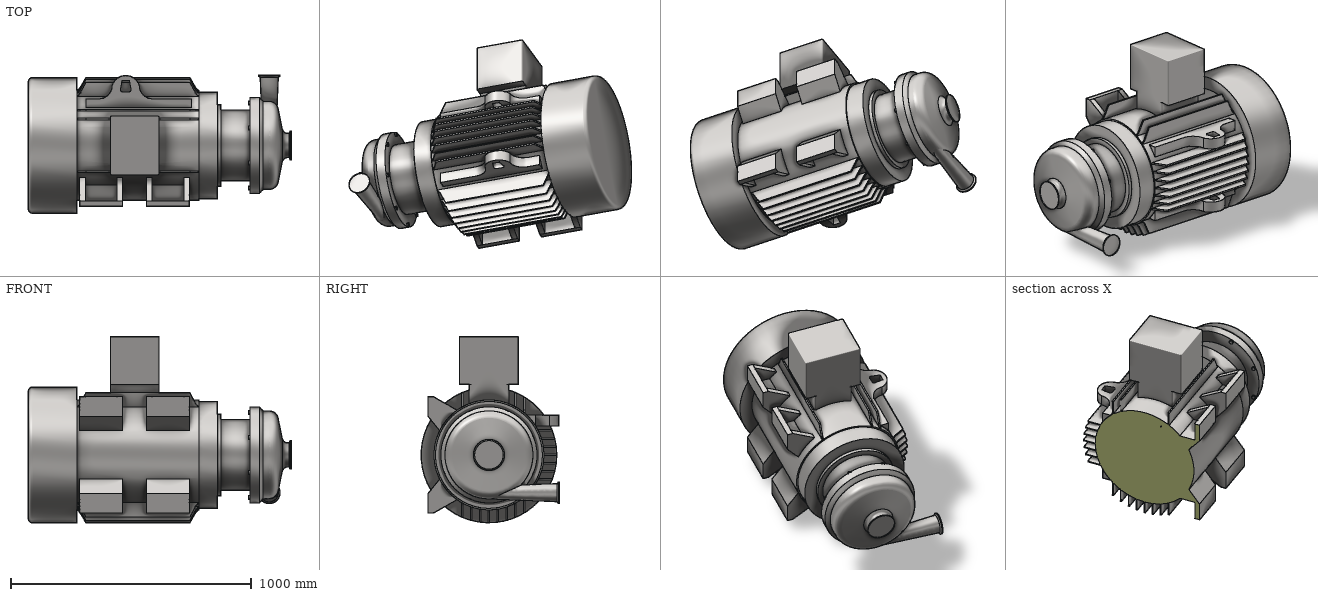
import cadquery as cq
import math


OVERALL_LENGTH = 1093.75
OVERALL_WIDTH = 575.15
OVERALL_HEIGHT = 774.7

FAN_COVER_END = 202.0
HOUSING_END = 709.0
END_SHIELD_END = 786.0
SPIGOT_END = 801.0
LANTERN_END = 921.5
PUMP_FLANGE_END = 960.5
FLANGE_TAPER_END = 977.0
VOLUTE_MID = 1002.0
VOLUTE_FACE_END = 1057.0

FAN_COVER_R = 564.9 / 2
FAN_COVER_ROUND = 18.0
HOUSING_R = 457.2 / 2
END_SHIELD_R = 444.5 / 2
SPIGOT_R = 340.0 / 2
LANTERN_R = 295.0 / 2
PUMP_FLANGE_R = 400.0 / 2
VOLUTE_R = 366.0 / 2
VOLUTE_ROUND = 38.0
VOLUTE_ROUND_END_ANGLE = 12.0
VOLUTE_FACE_R = 65.0

SUCTION_FLARE_START = 1062.0
SUCTION_FLARE_END = 1076.5
SUCTION_FLARE_R = 117.01 / 2
SUCTION_TUBE_R = 101.73 / 2
SUCTION_FERRULE_R = 118.92 / 2
FERRULE_RIM = 4.5
FERRULE_TAPER = 5.0

DISCHARGE_END_Y = OVERALL_WIDTH - FAN_COVER_R
DISCHARGE_Z = -157.0
DISCHARGE_TUBE_R = 76.33 / 2
DISCHARGE_FERRULE_R = 90.91 / 2

BOLT_COUNT = 8
BOLT_CIRCLE_R = 191.0
BOLT_HEAD_R = 8.0
BOLT_HEAD_HEIGHT = 6.5

ROOT_DEPTH = 20.0

UPRIGHT_FIN_PITCH = 36.7
SIDE_FIN_PITCH = 34.0
FIN_THICKNESS = 6.5
FIN_TIP_R = FAN_COVER_R
FIN_TIP_START = 240.0
FIN_TIP_END = 672.0
FIN_SLOPE_RUN = 25.0
FIN_FLARE = 11.0
FINS_PER_SIDE = 3

BOX_START = 341.5
BOX_END = 544.0
BOX_WIDTH = 245.0
BOX_BOTTOM = 293.5
BOX_TOP = OVERALL_HEIGHT - FAN_COVER_R
BOX_EDGE_ROUND = 7.0
LID_EDGE_ROUND = 3.0
NECK_WIDTH = 165.0

FOOT_STARTS = (214.0, 491.5)
FOOT_LENGTH = 179.0
FOOT_FACE_Y = -253.5
FOOT_WALL = 23.5
FOOT_OUTER_Z = 242.0
FOOT_FLOOR_Z = 160.0
FOOT_GUSSET_ANGLE = 30.0
FOOT_HEEL_Z = 101.0
FOOT_ROOT_Y = -101.0

LUG_CENTRE_X = 405.5
LUG_BOTTOM_Z = 120.0
LUG_THICKNESS = 45.5
LUG_START_X = 240.0
LUG_END_X = 679.0
LUG_BASE_Y = 157.5
LUG_SHOULDER_Y = 193.8
LUG_EYE_TOP_Y = 291.0
LUG_EYE_HALF_WIDTH = 56.0
LUG_FILLET = 57.0
LUG_HOLE_BOTTOM_Y = 223.0
LUG_HOLE_TOP_Y = 270.0
LUG_HOLE_BOTTOM_WIDTH = 47.0
LUG_HOLE_TOP_WIDTH = 31.0
LUG_HOLE_ROUND = 9.0


def chord_height(radius, offset):
    """Distance from the axis to a circle, measured at a sideways offset."""
    return math.sqrt(radius ** 2 - offset ** 2)


def mirrored_pair(body):
    """The body together with its mirror image below the shaft axis."""
    return body.union(body.mirror("XY"))


def axial_cylinder(start, end, radius):
    return cq.Workplane("YZ").workplane(offset=start).circle(radius).extrude(end - start)


def make_motor_body():
    fan_cover = axial_cylinder(0, FAN_COVER_END, FAN_COVER_R).faces("<X").edges().fillet(FAN_COVER_ROUND)
    body = fan_cover.union(axial_cylinder(FAN_COVER_END, HOUSING_END, HOUSING_R))
    body = body.union(axial_cylinder(HOUSING_END, END_SHIELD_END, END_SHIELD_R))
    body = body.union(axial_cylinder(END_SHIELD_END, SPIGOT_END, SPIGOT_R))
    return body.union(axial_cylinder(SPIGOT_END, LANTERN_END, LANTERN_R))


def make_pump_casing():
    """Flange, volute and suction nozzle, revolved about the shaft axis."""
    round_end_angle = math.radians(VOLUTE_ROUND_END_ANGLE)
    round_end = (
        VOLUTE_MID + VOLUTE_ROUND * math.cos(round_end_angle),
        VOLUTE_R - VOLUTE_ROUND + VOLUTE_ROUND * math.sin(round_end_angle),
    )
    round_middle = (
        VOLUTE_MID + VOLUTE_ROUND * math.sin(math.pi / 4),
        VOLUTE_R - VOLUTE_ROUND + VOLUTE_ROUND * math.cos(math.pi / 4),
    )
    flare_run = SUCTION_FLARE_END - SUCTION_FLARE_START
    flare_drop = SUCTION_FLARE_R - SUCTION_TUBE_R
    flare_radius = (flare_run ** 2 + flare_drop ** 2) / (2 * flare_drop)
    flare_middle = (
        SUCTION_FLARE_END - flare_run / 2,
        SUCTION_TUBE_R + flare_radius - chord_height(flare_radius, flare_run / 2),
    )
    rim_start = OVERALL_LENGTH - FERRULE_RIM
    profile = (
        cq.Workplane("XY")
        .moveTo(LANTERN_END, 0)
        .lineTo(LANTERN_END, PUMP_FLANGE_R)
        .lineTo(PUMP_FLANGE_END, PUMP_FLANGE_R)
        .lineTo(FLANGE_TAPER_END, VOLUTE_R)
        .lineTo(VOLUTE_MID, VOLUTE_R)
        .threePointArc(round_middle, round_end)
        .lineTo(VOLUTE_FACE_END, VOLUTE_FACE_R)
        .lineTo(SUCTION_FLARE_START, SUCTION_FLARE_R)
        .threePointArc(flare_middle, (SUCTION_FLARE_END, SUCTION_TUBE_R))
        .lineTo(rim_start - FERRULE_TAPER, SUCTION_TUBE_R)
        .lineTo(rim_start, SUCTION_FERRULE_R)
        .lineTo(OVERALL_LENGTH, SUCTION_FERRULE_R)
        .lineTo(OVERALL_LENGTH, 0)
        .close()
    )
    return profile.revolve(360, (0, 0, 0), (1, 0, 0))


def make_discharge_nozzle():
    """Tapered tube whose inner end just fits inside the volute, with a ferrule on its outer end."""
    inner_r = VOLUTE_R + DISCHARGE_Z
    rim_start = DISCHARGE_END_Y - FERRULE_RIM
    profile = (
        cq.Workplane("XY")
        .moveTo(0, 0)
        .lineTo(inner_r, 0)
        .lineTo(DISCHARGE_TUBE_R, rim_start - FERRULE_TAPER)
        .lineTo(DISCHARGE_FERRULE_R, rim_start)
        .lineTo(DISCHARGE_FERRULE_R, DISCHARGE_END_Y)
        .lineTo(0, DISCHARGE_END_Y)
        .close()
    )
    nozzle = profile.revolve(360, (0, 0, 0), (0, 1, 0))
    return nozzle.translate((VOLUTE_MID, 0, DISCHARGE_Z))


def make_bolt_heads():
    return (
        cq.Workplane("YZ")
        .workplane(offset=LANTERN_END - BOLT_HEAD_HEIGHT)
        .polarArray(BOLT_CIRCLE_R, 180 / BOLT_COUNT, 360, BOLT_COUNT)
        .circle(BOLT_HEAD_R)
        .extrude(BOLT_HEAD_HEIGHT)
    )


def make_upright_fin(offset):
    """Fin standing up from the housing at a sideways distance from the shaft axis."""
    root = chord_height(HOUSING_R, offset)
    tip = chord_height(FIN_TIP_R, abs(offset) + FIN_THICKNESS / 2)
    flare_top = root + FIN_FLARE
    fin_start = FIN_TIP_START - FIN_SLOPE_RUN
    fin_end = FIN_TIP_END + FIN_SLOPE_RUN
    profile = (
        cq.Workplane("XZ")
        .moveTo(fin_start - FIN_FLARE, root - ROOT_DEPTH)
        .lineTo(fin_start - FIN_FLARE, root)
        .lineTo(fin_start, flare_top)
        .lineTo(FIN_TIP_START, tip)
        .lineTo(FIN_TIP_END, tip)
        .lineTo(fin_end, flare_top)
        .lineTo(fin_end + FIN_FLARE, root)
        .lineTo(fin_end + FIN_FLARE, root - ROOT_DEPTH)
        .close()
    )
    fin = profile.extrude(FIN_THICKNESS / 2, both=True)
    return fin.translate((0, offset, 0))


def make_fins():
    """Full rows on the bottom and +Y sides, one pair beside the terminal box, one fin by each lug."""
    axis_start = (0, 0, 0)
    axis_end = (1, 0, 0)
    lug_fin = make_upright_fin((FINS_PER_SIDE + 1) * UPRIGHT_FIN_PITCH)
    fins = mirrored_pair(lug_fin)
    for step in (-FINS_PER_SIDE, FINS_PER_SIDE):
        fins = fins.union(make_upright_fin(step * UPRIGHT_FIN_PITCH))
    for step in range(-FINS_PER_SIDE, FINS_PER_SIDE + 1):
        bottom_fin = make_upright_fin(step * UPRIGHT_FIN_PITCH).rotate(axis_start, axis_end, 180)
        side_fin = make_upright_fin(step * SIDE_FIN_PITCH).rotate(axis_start, axis_end, -90)
        fins = fins.union(bottom_fin).union(side_fin)
    return fins


def make_terminal_box():
    length = BOX_END - BOX_START
    middle = (BOX_START + BOX_END) / 2
    box = (
        cq.Workplane("XY")
        .workplane(offset=BOX_BOTTOM)
        .center(middle, 0)
        .rect(length, BOX_WIDTH)
        .extrude(BOX_TOP - BOX_BOTTOM)
        .edges("|Z")
        .fillet(BOX_EDGE_ROUND)
        .faces(">Z")
        .edges()
        .fillet(LID_EDGE_ROUND)
    )
    neck_bottom = chord_height(HOUSING_R, NECK_WIDTH / 2) - ROOT_DEPTH
    neck = (
        cq.Workplane("XY")
        .workplane(offset=neck_bottom)
        .center(middle, 0)
        .rect(length, NECK_WIDTH)
        .extrude(BOX_BOTTOM - neck_bottom)
        .edges("|Z")
        .fillet(BOX_EDGE_ROUND)
    )
    return box.union(neck)


def make_foot(start):
    """Wedge foot with an end gusset on each side of an open pocket; its root lies inside the housing."""
    plate_back_y = FOOT_FACE_Y + FOOT_WALL
    slope = math.tan(math.radians(FOOT_GUSSET_ANGLE))
    heel_y = -chord_height(HOUSING_R, FOOT_HEEL_Z)
    wedge = (
        cq.Workplane("YZ")
        .workplane(offset=start)
        .moveTo(FOOT_FACE_Y, FOOT_FLOOR_Z)
        .lineTo(FOOT_FACE_Y, FOOT_OUTER_Z)
        .lineTo(plate_back_y, FOOT_OUTER_Z)
        .lineTo(FOOT_ROOT_Y, FOOT_OUTER_Z - slope * (FOOT_ROOT_Y - plate_back_y))
        .lineTo(FOOT_ROOT_Y, FOOT_HEEL_Z)
        .lineTo(heel_y, FOOT_HEEL_Z)
        .close()
        .extrude(FOOT_LENGTH)
    )
    pocket = cq.Workplane("XY").box(
        FOOT_LENGTH - 2 * FOOT_WALL,
        FOOT_ROOT_Y - plate_back_y,
        FOOT_OUTER_Z - FOOT_FLOOR_Z,
        centered=False,
    )
    return wedge.cut(pocket.translate((start + FOOT_WALL, plate_back_y, FOOT_FLOOR_Z)))


def make_lug():
    """Plate with a rounded eye that blends into a long base bar along the housing."""
    fillet_mid = LUG_FILLET * (1 - math.cos(math.pi / 4))
    eye_side_y = LUG_SHOULDER_Y + LUG_FILLET
    fillet_x = LUG_EYE_HALF_WIDTH + LUG_FILLET
    fillet_mid_x = LUG_EYE_HALF_WIDTH + fillet_mid
    fillet_mid_y = LUG_SHOULDER_Y + fillet_mid
    plate = (
        cq.Workplane("XY")
        .moveTo(LUG_START_X, LUG_BASE_Y)
        .lineTo(LUG_START_X, LUG_SHOULDER_Y)
        .lineTo(LUG_CENTRE_X - fillet_x, LUG_SHOULDER_Y)
        .threePointArc(
            (LUG_CENTRE_X - fillet_mid_x, fillet_mid_y),
            (LUG_CENTRE_X - LUG_EYE_HALF_WIDTH, eye_side_y),
        )
        .threePointArc(
            (LUG_CENTRE_X, LUG_EYE_TOP_Y),
            (LUG_CENTRE_X + LUG_EYE_HALF_WIDTH, eye_side_y),
        )
        .threePointArc(
            (LUG_CENTRE_X + fillet_mid_x, fillet_mid_y),
            (LUG_CENTRE_X + fillet_x, LUG_SHOULDER_Y),
        )
        .lineTo(LUG_END_X, LUG_SHOULDER_Y)
        .lineTo(LUG_END_X, LUG_BASE_Y)
        .close()
        .extrude(LUG_THICKNESS)
    )
    hole = (
        cq.Workplane("XY")
        .moveTo(LUG_CENTRE_X - LUG_HOLE_BOTTOM_WIDTH / 2, LUG_HOLE_BOTTOM_Y)
        .lineTo(LUG_CENTRE_X - LUG_HOLE_TOP_WIDTH / 2, LUG_HOLE_TOP_Y)
        .lineTo(LUG_CENTRE_X + LUG_HOLE_TOP_WIDTH / 2, LUG_HOLE_TOP_Y)
        .lineTo(LUG_CENTRE_X + LUG_HOLE_BOTTOM_WIDTH / 2, LUG_HOLE_BOTTOM_Y)
        .close()
        .extrude(LUG_THICKNESS)
        .edges("|Z and <Y")
        .fillet(LUG_HOLE_ROUND)
    )
    return plate.cut(hole).translate((0, 0, LUG_BOTTOM_Z))


result = make_motor_body()
result = result.union(make_pump_casing())
result = result.union(make_discharge_nozzle())
result = result.union(make_bolt_heads())
result = result.union(make_fins())
result = result.union(make_terminal_box())
for foot_start in FOOT_STARTS:
    result = result.union(mirrored_pair(make_foot(foot_start)))
result = result.union(mirrored_pair(make_lug()))